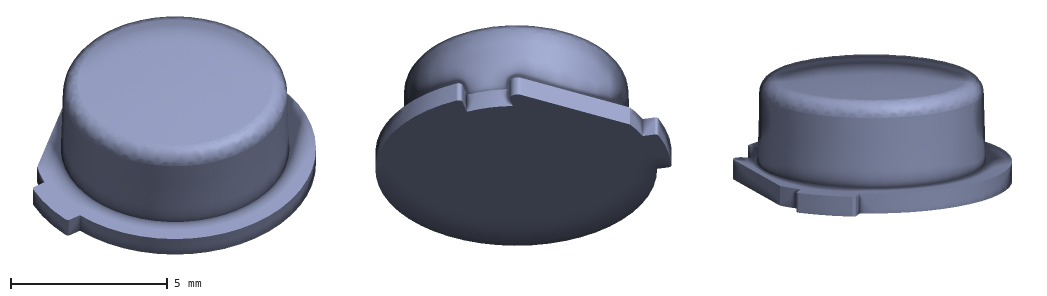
import cadquery as cq
import math

flange_radius = 4.505
flange_thickness = 0.65
flat_x = -4.01

slot_angle = 140.0
slot_width = 1.505
slot_floor_radius = 3.76
slot_flat_corner_radius = 0.25
slot_rim_corner_radius = 0.14

tab_angle = 230.0
tab_width = 1.99
tab_radius = 4.97
tab_corner_radius = 0.12

total_height = 3.5
cap_base_radius = 3.66
cap_top_radius = 3.58
dome_rise = 0.13
cap_edge_radius = 0.5


def radial_bar(angle, width):
    """Bar of flange thickness running outward from the axis at the given angle."""
    return (
        cq.Workplane("XY")
        .rect(2 * flange_radius, width)
        .extrude(flange_thickness)
        .translate((flange_radius, 0, 0))
        .rotate((0, 0, 0), (0, 0, 1), angle)
    )


def disc(radius):
    return cq.Workplane("XY").circle(radius).extrude(flange_thickness)


def upright_edge_at(x, y):
    """Selector for the vertical flange edge nearest to (x, y)."""
    return cq.selectors.NearestToPointSelector((x, y, flange_thickness / 2))


def make_tab():
    tab = disc(tab_radius).intersect(radial_bar(tab_angle, tab_width))
    along = math.sqrt(tab_radius**2 - (tab_width / 2) ** 2)
    angle = math.radians(tab_angle)
    for across in (-tab_width / 2, tab_width / 2):
        corner_x = along * math.cos(angle) - across * math.sin(angle)
        corner_y = along * math.sin(angle) + across * math.cos(angle)
        tab = tab.edges("|Z").edges(upright_edge_at(corner_x, corner_y)).fillet(tab_corner_radius)
    return tab


def make_flange():
    keep_width = flange_radius - flat_x
    keep = (
        cq.Workplane("XY")
        .rect(keep_width, 2 * flange_radius)
        .extrude(flange_thickness)
        .translate((flat_x + keep_width / 2, 0, 0))
    )
    slot = radial_bar(slot_angle, slot_width).cut(disc(slot_floor_radius))
    angle = math.radians(slot_angle)
    half_width = slot_width / 2

    flat_along = (flat_x + half_width * math.sin(angle)) / math.cos(angle)
    flat_corner_y = flat_along * math.sin(angle) + half_width * math.cos(angle)
    flat_corner = upright_edge_at(flat_x, flat_corner_y)
    slotted = keep.cut(slot).edges("|Z").edges(flat_corner).fillet(slot_flat_corner_radius)
    flange = slotted.intersect(disc(flange_radius))

    rim_along = math.sqrt(flange_radius**2 - half_width**2)
    rim_x = rim_along * math.cos(angle) + half_width * math.sin(angle)
    rim_y = rim_along * math.sin(angle) - half_width * math.cos(angle)
    rim_corner = upright_edge_at(rim_x, rim_y)
    flange = flange.edges("|Z").edges(rim_corner).fillet(slot_rim_corner_radius)
    return flange.union(make_tab())


def make_cap():
    dome_radius = (cap_top_radius**2 + dome_rise**2) / (2 * dome_rise)
    mid_radius = cap_top_radius / 2
    mid_drop = dome_radius - math.sqrt(dome_radius**2 - mid_radius**2)
    shoulder_height = total_height - dome_rise
    cap = (
        cq.Workplane("XZ")
        .lineTo(cap_base_radius, 0)
        .lineTo(cap_base_radius, flange_thickness)
        .lineTo(cap_top_radius, shoulder_height)
        .threePointArc((mid_radius, total_height - mid_drop), (0, total_height))
        .close()
        .revolve(360, (0, 0, 0), (0, 1, 0))
    )
    shoulder = cq.selectors.BoxSelector(
        (-flange_radius, -flange_radius, shoulder_height - dome_rise / 2),
        (flange_radius, flange_radius, shoulder_height + dome_rise / 2),
    )
    return cap.edges("%CIRCLE").edges(shoulder).fillet(cap_edge_radius)


result = make_flange().union(make_cap())